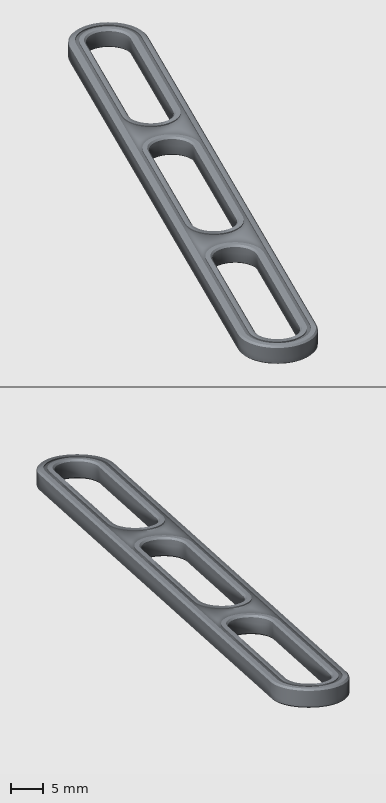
import cadquery as cq

length = 112.5
width = 12.5
thickness = 3.2

lip_width = 1.06
recess_width = 0.61
recess_depth = 0.25

wall = 2 * lip_width + recess_width
slot_count = 3
slot_pitch = length / slot_count
slot_length = slot_pitch - 2 * wall
slot_width = width - 2 * wall

bevel = 0.28


def bar(inset, height):
    """Round-ended bar, drawn in by the inset all around."""
    return cq.Workplane("XY").slot2D(length - 2 * inset, width - 2 * inset).extrude(height)


def slots(margin, height):
    """Row of slot-shaped solids, grown by the margin all around."""
    return (
        cq.Workplane("XY")
        .rarray(slot_pitch, 1.1, slot_count, 1)
        .slot2D(slot_length + 2 * margin, slot_width + 2 * margin)
        .extrude(height)
    )


def beveled_frame():
    """Slotted bar with all its rims beveled."""
    frame = bar(0, thickness).cut(slots(0, thickness))
    return frame.faces("<Z or >Z").edges().chamfer(bevel)


def top_recess():
    """Volume sunk into the top face between the outer lip and the slot lips."""
    recess = bar(lip_width, recess_depth).cut(slots(lip_width, recess_depth))
    return recess.translate((0, 0, thickness - recess_depth))


result = beveled_frame().cut(top_recess())